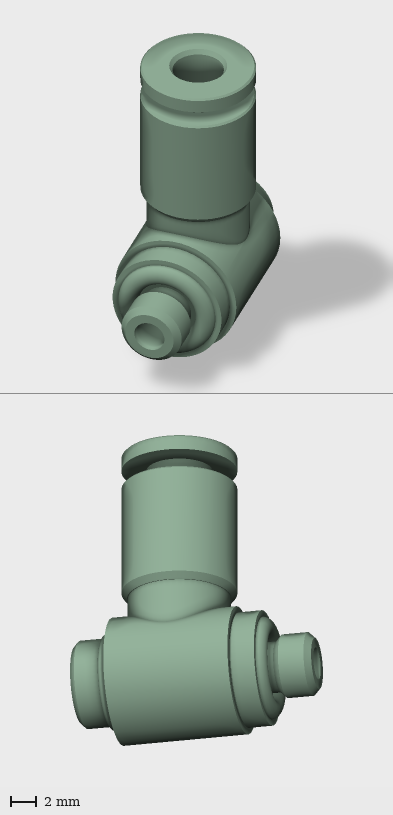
import cadquery as cq

body_radius = 5.0
body_front = -5.03
body_rear = 4.89

collar_radius = 4.51
relief_radius = 4.32
relief_width = 0.12
collar_front = -7.03

front_seal_outer_radius = 4.02
neck_radius = 2.0
front_seal_tube = 0.82
front_seal_major = front_seal_outer_radius - front_seal_tube
front_seal_crown = -7.75

thread_radius = 2.5
thread_front = -11.0
thread_chamfer = 0.5
neck_front = -7.97

plug_radius = 3.45
plug_rear = 8.01
plug_chamfer = 0.4
rear_seal_outer_radius = 3.85
rear_seal_tube = 0.42
rear_seal_crown = 5.7

stem_radius = 4.02
sleeve_radius = 4.51
sleeve_bottom = 6.49
sleeve_taper_height = 0.52
sleeve_taper_radius = 4.1
sleeve_top = 15.89
button_neck_diameter = 5.2
button_neck_radius = button_neck_diameter / 2
button_bottom = 17.27
button_top = 18.5
edge_chamfer = 0.15

tube_bore_radius = 2.0
tube_bore_floor = 8.45
bore_mouth_radius = 2.25
bore_mouth_depth = 0.35
passage_radius = 1.25


def revolve_about_y(outline):
    """Revolve (radius, y) points about the Y axis."""
    return cq.Workplane("XY").polyline(outline).close().revolve(360, (0, 0), (0, 1))


def revolve_about_z(outline):
    """Revolve (radius, z) points about the Z axis."""
    return cq.Workplane("XZ").polyline(outline).close().revolve(360, (0, 0), (0, 1))


def seal_ring(major_radius, tube_radius, center_y):
    """O-ring centred on the Y axis."""
    return (
        cq.Workplane("XY")
        .center(major_radius, center_y)
        .circle(tube_radius)
        .revolve(360, (-major_radius, 0), (-major_radius, 1))
    )


def make_horizontal_body():
    collar_rear = body_front - relief_width
    neck_taper = thread_radius - neck_radius
    core = revolve_about_y([
        (0, thread_front),
        (thread_radius - thread_chamfer, thread_front),
        (thread_radius, thread_front + thread_chamfer),
        (thread_radius, neck_front - neck_taper),
        (neck_radius, neck_front),
        (neck_radius, collar_front),
        (collar_radius, collar_front),
        (collar_radius, collar_rear),
        (relief_radius, collar_rear),
        (relief_radius, body_front),
        (body_radius, body_front),
        (body_radius, body_rear),
        (plug_radius, body_rear),
        (plug_radius, plug_rear - plug_chamfer),
        (plug_radius - plug_chamfer, plug_rear),
        (0, plug_rear),
    ])
    front_seal = seal_ring(
        front_seal_major, front_seal_tube, front_seal_crown + front_seal_tube
    )
    rear_seal = seal_ring(
        rear_seal_outer_radius - rear_seal_tube, rear_seal_tube, rear_seal_crown - rear_seal_tube
    )
    return core.union(front_seal).union(rear_seal)


def make_upright():
    return revolve_about_z([
        (0, 0),
        (stem_radius, 0),
        (stem_radius, sleeve_bottom),
        (sleeve_taper_radius, sleeve_bottom),
        (sleeve_radius, sleeve_bottom + sleeve_taper_height),
        (sleeve_radius, sleeve_top - edge_chamfer),
        (sleeve_radius - edge_chamfer, sleeve_top),
        (button_neck_radius, sleeve_top),
        (button_neck_radius, button_bottom),
        (sleeve_radius, button_bottom),
        (sleeve_radius, button_top - edge_chamfer),
        (sleeve_radius - edge_chamfer, button_top),
        (0, button_top),
    ])


def make_passages():
    """Stepped tube bore, joined to the spigot bore by an elbow with a spherical corner."""
    vertical = revolve_about_z([
        (0, 0),
        (passage_radius, 0),
        (passage_radius, tube_bore_floor),
        (tube_bore_radius, tube_bore_floor),
        (tube_bore_radius, button_top - bore_mouth_depth),
        (bore_mouth_radius, button_top),
        (0, button_top),
    ])
    spigot_bore = cq.Workplane("XZ").circle(passage_radius).extrude(-thread_front)
    corner = cq.Workplane("XY").sphere(passage_radius)
    return vertical.union(spigot_bore).union(corner)


result = make_horizontal_body().union(make_upright()).cut(make_passages())